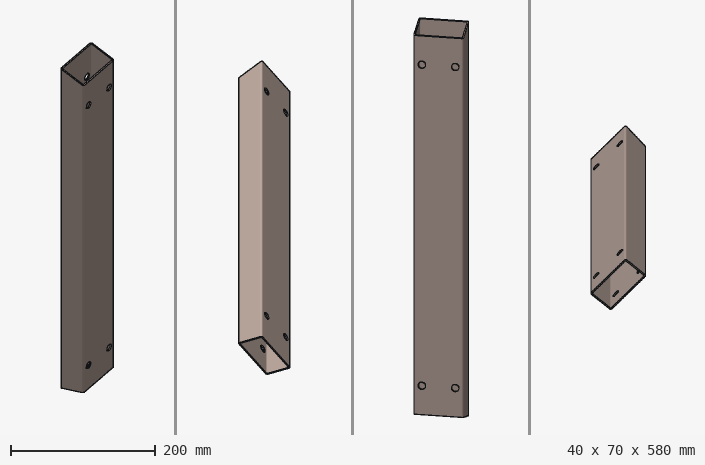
import cadquery as cq
import math

length = 580.0
width_x = 40.0
width_y = 70.0
wall = 2.05
outer_radius = 2.5
inner_radius = outer_radius - wall

miter_angle = 16
miter_drop = width_x * math.tan(math.radians(miter_angle))

hole_diameter = 10.5
hole_spacing_y = 47.0
hole_end_distance = 54.0
hole_spacing_z = length - 2 * hole_end_distance


def rounded_bar(size_x, size_y, radius):
    """Solid bar along Z, centred on the origin, with rounded long edges."""
    return cq.Workplane("XY").box(size_x, size_y, length).edges("|Z").fillet(radius)


def make_tube():
    outside = rounded_bar(width_x, width_y, outer_radius)
    inside = rounded_bar(width_x - 2 * wall, width_y - 2 * wall, inner_radius)
    return outside.cut(inside)


def make_miter_envelope():
    """Trapezoidal block that keeps only the material between the end cuts."""
    half_x = width_x / 2
    long_end = length / 2
    short_end = long_end - miter_drop
    outline = [
        (-half_x, -long_end),
        (half_x, -short_end),
        (half_x, short_end),
        (-half_x, long_end),
    ]
    return cq.Workplane("XZ").polyline(outline).close().extrude(width_y / 2, both=True)


def make_hole_drills():
    return (
        cq.Workplane("YZ")
        .rarray(hole_spacing_y, hole_spacing_z, 2, 2)
        .circle(hole_diameter / 2)
        .extrude(width_x, both=True)
    )


result = make_tube().intersect(make_miter_envelope()).cut(make_hole_drills())